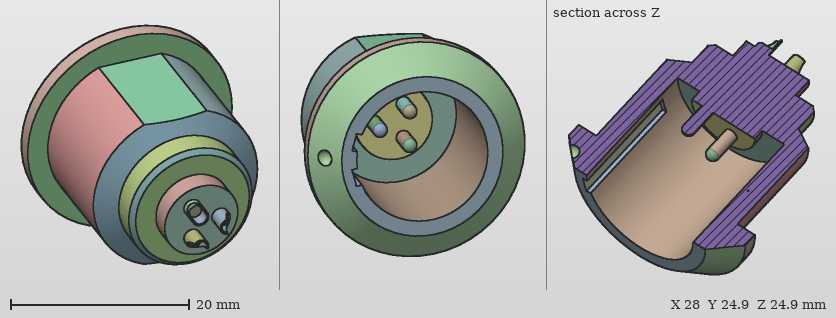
import cadquery as cq
import math

total_length = 28.0
flange_bevel_end = 3.15
flange_back = 5.0
body_end = 18.1
rear_chamfer = 0.6
rear_end = 23.0
insert_end = 25.5

mouth_radius = 9.25
flange_radius = 12.445
body_radius = 10.0
rear_radius = 7.5
insert_radius = 4.45
shoulder_angle = 30.0
shoulder_end = body_end + (body_radius - rear_radius) * math.tan(math.radians(shoulder_angle))

flat_half_height = 9.25

socket_radius = 7.5
socket_depth = 16.8
insert_front = 15.4
keyway_width = 2.02
keyway_outer_distance = 8.05
keyway_depth = 14.0
keyway_angle = 15.0

mark_radius = 0.9

contact_angles = (0, 120, 240)
contact_circle_radius = 2.27
pin_radius = 0.8
pin_tip = 11.2
cup_radius = 0.98
cup_bore_radius = 0.78
cup_bore_floor = 26.4
scoop_radius = 2.1
scoop_overcut = 0.1


def rod(radius, start, end, y=0.0):
    """Cylinder parallel to X, offset from the main axis along Y."""
    return cq.Workplane("YZ", origin=(start, y, 0)).circle(radius).extrude(end - start)


def make_shell():
    """Turned outside of the flange, body, shoulder, rear collar and insert."""
    profile = [
        (0, 0),
        (0, mouth_radius),
        (flange_bevel_end, flange_radius),
        (flange_back, flange_radius),
        (flange_back, body_radius),
        (body_end, body_radius),
        (shoulder_end, rear_radius),
        (rear_end - rear_chamfer, rear_radius),
        (rear_end, rear_radius - rear_chamfer),
        (rear_end, insert_radius),
        (insert_end, insert_radius),
        (insert_end, 0),
    ]
    return cq.Workplane("XY").polyline(profile).close().revolve(360, (0, 0, 0), (1, 0, 0))


def make_flat(side):
    """Material removed above (side = 1) or below (side = -1) a wrench flat."""
    depth = body_radius - flat_half_height
    center = ((flange_back + shoulder_end) / 2, 0, side * (flat_half_height + depth / 2))
    return cq.Workplane("XY", origin=center).box(shoulder_end - flange_back, 2 * body_radius, depth)


def make_keyway(angle):
    """Rectangular groove running in from the mouth on the +Y side of the socket."""
    groove = cq.Workplane("XY").box(
        keyway_depth, keyway_outer_distance, keyway_width, centered=(False, False, True)
    )
    return groove.rotate((0, 0, 0), (1, 0, 0), angle)


def make_socket():
    """Bored cavity with two keyways, leaving the insert standing on its floor."""
    cavity = rod(socket_radius, 0, socket_depth)
    for angle in (-keyway_angle, keyway_angle):
        cavity = cavity.union(make_keyway(angle))
    return cavity.cut(rod(insert_radius, insert_front, socket_depth))


def make_index_mark():
    """Ball that cuts the hemispherical dimple in the flange bevel."""
    center = (flange_bevel_end / 2, (mouth_radius + flange_radius) / 2, 0)
    return cq.Workplane("XY").sphere(mark_radius).translate(center)


def make_contact():
    """Round-nosed pin in front and a solder cup, open outward, at the rear."""
    y = contact_circle_radius
    nose_center = pin_tip + pin_radius
    nose = cq.Workplane("XY").sphere(pin_radius).translate((nose_center, y, 0))
    pin = rod(pin_radius, nose_center, insert_front, y).union(nose)

    cup = rod(cup_radius, insert_end, total_length, y)
    cup = cup.cut(rod(cup_bore_radius, cup_bore_floor, total_length, y))
    scoop_center = (total_length, y - scoop_overcut + scoop_radius)
    scoop = (
        cq.Workplane("XY")
        .center(*scoop_center)
        .circle(scoop_radius)
        .extrude(2 * cup_radius, both=True)
    )
    return pin, cup.cut(scoop)


result = make_shell()
for side in (1, -1):
    result = result.cut(make_flat(side))
result = result.cut(make_socket()).cut(make_index_mark())
for angle in contact_angles:
    for piece in make_contact():
        result = result.union(piece.rotate((0, 0, 0), (1, 0, 0), angle))